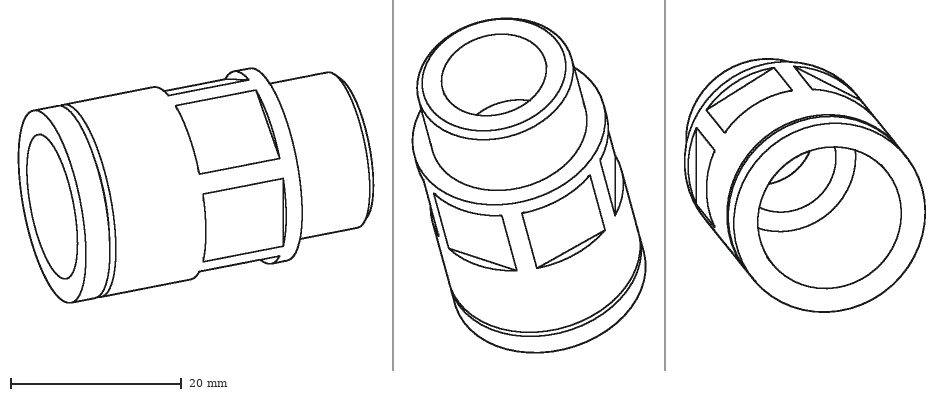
import cadquery as cq

total_length = 37.0
collar_end = 3.0
groove_end = 3.75
flats_start = 15.0
flats_end = 25.0
body_end = 27.0
socket_depth = flats_end

body_diameter = 23.0
groove_diameter = 18.6
spigot_diameter = 18.6
socket_diameter = 17.25
bore_diameter = 12.5
spigot_chamfer = 0.75

hex_sides = 6
across_flats = 21.0


def cylinder(diameter, start, end):
    """Cylinder along +Y between two distances from the front face."""
    plane = cq.Plane(origin=(0, start, 0), xDir=(1, 0, 0), normal=(0, 1, 0))
    return cq.Workplane(plane).circle(diameter / 2).extrude(end - start)


def wrench_flat(angle):
    """Cutter for one wrench flat, turned about the Y axis."""
    depth = (body_diameter - across_flats) / 2
    cutter = cq.Workplane("XY").box(
        depth, flats_end - flats_start, body_diameter, centered=(False, False, True)
    )
    cutter = cutter.translate((across_flats / 2, flats_start, 0))
    return cutter.rotate((0, 0, 0), (0, 1, 0), angle)


body = cylinder(body_diameter, 0, collar_end)
body = body.union(cylinder(groove_diameter, collar_end, groove_end))
body = body.union(cylinder(body_diameter, groove_end, body_end))
spigot = cylinder(spigot_diameter, body_end, total_length)
spigot = spigot.faces(">Y").chamfer(spigot_chamfer)
body = body.union(spigot)

for side in range(hex_sides):
    body = body.cut(wrench_flat(side * 360 / hex_sides))

body = body.cut(cylinder(socket_diameter, 0, socket_depth))
result = body.cut(cylinder(bore_diameter, 0, total_length))